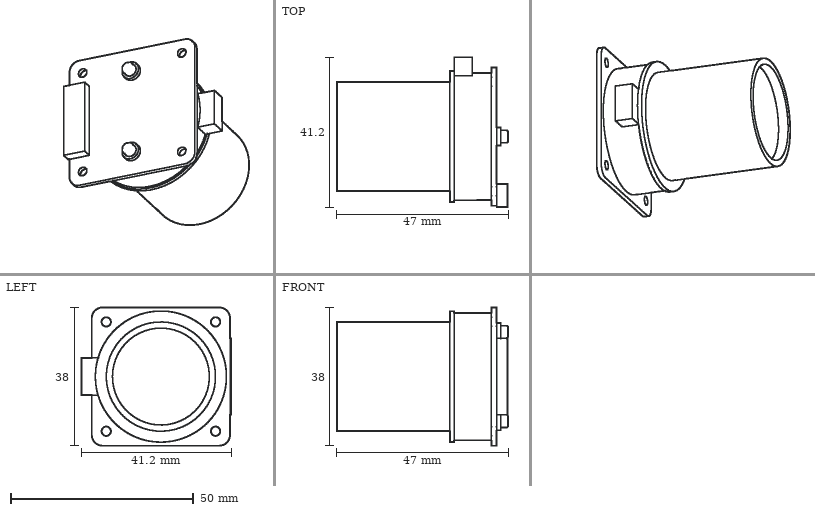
import cadquery as cq


barrel_diameter = 30.0
barrel_length = 31.0
recess_diameter = 26.6
recess_depth = 2.8

collar_diameter = 36.0
collar_thickness = 1.2
housing_diameter = 35.0
housing_length = 10.25

plate_side = 38.0
plate_thickness = 1.4
plate_corner_radius = 3.0
mount_hole_diameter = 2.5
mount_hole_spacing = 30.0

pin_spacing = 24.5
pin_base_diameter = 5.0
pin_base_length = 1.2
pin_diameter = 3.5
pin_edge_radius = 0.5
overall_length = 47.0

rear_block_depth = 3.0
rear_block_width = 6.4
rear_block_height = 21.0
rear_block_overhang = 0.37

side_block_length = 5.0
side_block_height = 10.2
side_block_outer_y = 21.83
side_block_inner_y = 16.0

collar_back = barrel_length + collar_thickness
plate_front = collar_back + housing_length
plate_back = plate_front + plate_thickness
pin_base_back = plate_back + pin_base_length


def disc(diameter, x_start, x_end, z=0.0):
    """Cylinder parallel to X, centred on Y = 0 at height z."""
    return (
        cq.Workplane("YZ", origin=(x_start, 0, z))
        .circle(diameter / 2)
        .extrude(x_end - x_start)
    )


def block(x_range, y_range, height):
    """Box spanning the given X and Y ranges, centred on Z = 0."""
    length = x_range[1] - x_range[0]
    width = y_range[1] - y_range[0]
    return (
        cq.Workplane("XY")
        .box(length, width, height, centered=(False, False, True))
        .translate((x_range[0], y_range[0], 0))
    )


def motor_body():
    barrel = disc(barrel_diameter, 0, barrel_length)
    recess = disc(recess_diameter, 0, recess_depth)
    collar = disc(collar_diameter, barrel_length, collar_back)
    housing = disc(housing_diameter, collar_back, plate_front)
    return barrel.cut(recess).union(collar).union(housing)


def mounting_plate():
    return (
        cq.Workplane("YZ", origin=(plate_front, 0, 0))
        .rect(plate_side, plate_side)
        .extrude(plate_thickness)
        .edges("|X")
        .fillet(plate_corner_radius)
        .faces(">X")
        .workplane()
        .rect(mount_hole_spacing, mount_hole_spacing, forConstruction=True)
        .vertices()
        .hole(mount_hole_diameter)
    )


def stepped_pin(z):
    base = disc(pin_base_diameter, plate_back, pin_base_back, z)
    tip = disc(pin_diameter, pin_base_back, overall_length, z)
    return base.union(tip.faces(">X").edges().fillet(pin_edge_radius))


def rear_block():
    outer_y = -plate_side / 2 - rear_block_overhang
    return block(
        (plate_back, plate_back + rear_block_depth),
        (outer_y, outer_y + rear_block_width),
        rear_block_height,
    )


def side_block():
    return block(
        (collar_back, collar_back + side_block_length),
        (side_block_inner_y, side_block_outer_y),
        side_block_height,
    )


result = motor_body().union(mounting_plate()).union(rear_block()).union(side_block())
for pin_z in (-pin_spacing / 2, pin_spacing / 2):
    result = result.union(stepped_pin(pin_z))